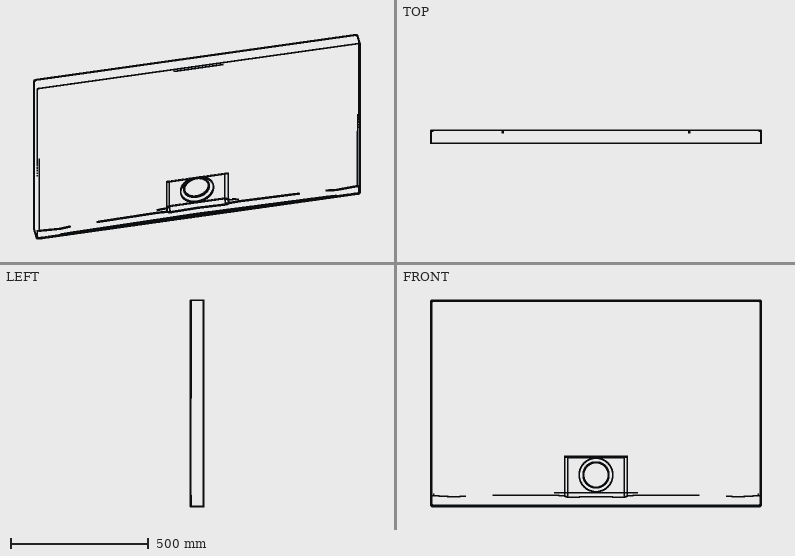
import cadquery as cq

LENGTH = 1200.0
DEPTH = 48.0
HEIGHT = 750.0
WALL = 4.0
SKIN = 4.0
RIM_LAND = 6.0
RIM_LAND_LIFT = 0.1
CORNER_RADIUS = 8.0
RIM_RADIUS = 3.0

RIM_Y = DEPTH / 2
FLOOR_Y = RIM_Y - SKIN
INNER_X = LENGTH / 2 - WALL
INNER_Z = HEIGHT / 2 - WALL

RIM_FOOT_Z = -331.0
FOLD_FOOT_Z = -327.0
PAD_FOOT_Z = -324.0
STEP_BASE_Z = -348.0
STEP_BASE_END_Z = -335.0

RIM_FOOT_Y = FLOOR_Y - 3.0
FOLD_Y = 15.5
BLEND_Y = 10.0
PAD_BASE_Y = 7.0
PAD_Y = -2.0


FOLD_APEX = (291.0, 14.0)
FOLD_TOP_Z = 114.0
FOLD_SHOULDER = (181.0, 68.0)
FOLD_FLANK = (349.0, -155.0)
FOLD_FOOT_X = 374.0
PANEL_TOP_X = 302.0
PANEL_SIDE_Z = 24.0

BLEND_CORNER = (128.0, -173.0)
BLEND_TOP_Z = -152.0
BLEND_SHOULDER = (80.0, -155.0)
BLEND_FLANK = (146.0, -225.0)
BLEND_FOOT_X = 149.0

PAD_BASE_X = 114.0
PAD_BASE_TOP_Z = -193.0
PAD_X = 103.0
PAD_TOP_Z = -197.0

DRAIN_Z = -260.0
COLLAR_RADIUS = 61.0
COLLAR_HEIGHT = 11.0
LIP_RADIUS = 47.0
OUTLET_RADIUS = 45.0

LEDGE_START_X = 512.0
LEDGE_KNEE_X = 475.0
LEDGE_KNEE_Y = FLOOR_Y - 1.5
LEDGE_MIDDLE_Y = 12.0
LEDGE_TOP_Z = -329.0


def plan_point(side, point, level):
    """Place an (X, Z) plan point on the given half at a Y level."""
    return (side * point[0], level, point[1])


def line(start, end):
    return cq.Edge.makeLine(cq.Vector(*start), cq.Vector(*end))


def three_point_arc(start, middle, end):
    return cq.Edge.makeThreePointArc(cq.Vector(*start), cq.Vector(*middle), cq.Vector(*end))


def arch(top, middle, end):
    """Curve that leaves its top point level and runs out straight towards its end."""
    points = [cq.Vector(*p) for p in (top, middle, end)]
    tangents = [cq.Vector(end[0] - top[0], 0, 0), points[2] - points[1]]
    return cq.Edge.makeSpline(points, tangents=tangents)


def planar_face(points):
    return cq.Face.makeFromWires(cq.Wire.makePolygon([cq.Vector(*p) for p in points], close=True))


def floor_half(side):
    """Faces of one half of the floor underside; side is -1 or +1 along X."""
    rim_top = (0, FLOOR_Y, INNER_Z)
    rim_panel = (side * PANEL_TOP_X, FLOOR_Y, INNER_Z)
    rim_corner = (side * INNER_X, FLOOR_Y, INNER_Z)
    rim_side = (side * INNER_X, FLOOR_Y, PANEL_SIDE_Z)
    rim_foot = (side * INNER_X, RIM_FOOT_Y, RIM_FOOT_Z)

    fold_top = (0, FOLD_Y, FOLD_TOP_Z)
    fold_apex = plan_point(side, FOLD_APEX, FOLD_Y)
    fold_foot = (side * FOLD_FOOT_X, FOLD_Y, FOLD_FOOT_Z)

    blend_top = (0, BLEND_Y, BLEND_TOP_Z)
    blend_corner = plan_point(side, BLEND_CORNER, BLEND_Y)
    blend_foot = (side * BLEND_FOOT_X, BLEND_Y, PAD_FOOT_Z)

    base_top = (0, PAD_BASE_Y, PAD_BASE_TOP_Z)
    base_corner = (side * PAD_BASE_X, PAD_BASE_Y, PAD_BASE_TOP_Z)
    base_foot = (side * PAD_BASE_X, PAD_BASE_Y, PAD_FOOT_Z)

    pad_top = (0, PAD_Y, PAD_TOP_Z)
    pad_corner = (side * PAD_X, PAD_Y, PAD_TOP_Z)
    pad_foot = (side * PAD_X, PAD_Y, PAD_FOOT_Z)

    fold_over = arch(fold_top, plan_point(side, FOLD_SHOULDER, FOLD_Y), fold_apex)
    fold_down = three_point_arc(fold_apex, plan_point(side, FOLD_FLANK, FOLD_Y), fold_foot)
    blend_over = three_point_arc(blend_top, plan_point(side, BLEND_SHOULDER, BLEND_Y), blend_corner)
    blend_down = three_point_arc(blend_corner, plan_point(side, BLEND_FLANK, BLEND_Y), blend_foot)
    base_over = line(base_top, base_corner)
    base_down = line(base_corner, base_foot)

    strips = [
        (line(rim_top, rim_panel), fold_over),
        (line(rim_panel, rim_corner), line(fold_apex, rim_side)),
        (line(rim_side, rim_foot), fold_down),
        (fold_over, blend_over),
        (fold_down, blend_down),
        (blend_over, base_over),
        (blend_down, base_down),
        (base_over, line(pad_top, pad_corner)),
        (base_down, line(pad_corner, pad_foot)),
    ]
    faces = [cq.Face.makeRuledSurface(outer, inner) for outer, inner in strips]

    pad_middle = (0, PAD_Y, PAD_FOOT_Z)
    foot = [rim_foot, fold_foot, blend_foot, base_foot, pad_foot, pad_middle]
    step_base = [(side * INNER_X, FLOOR_Y, STEP_BASE_END_Z)]
    step_base += [(x, FLOOR_Y, STEP_BASE_Z) for x, _, _ in foot[1:]]
    for i in range(len(foot) - 1):
        upper = line(foot[i], foot[i + 1])
        lower = line(step_base[i], step_base[i + 1])
        faces.append(cq.Face.makeRuledSurface(upper, lower))
    faces.append(planar_face([pad_top, pad_corner, pad_foot, pad_middle]))
    faces.append(planar_face([rim_side, rim_foot, step_base[0]]))
    faces.append(planar_face([rim_top, rim_panel, rim_corner, rim_side] + step_base))
    return faces


def floor_sag():
    """Volume between the rim level and the sagging floor, drain pad included."""
    shell = cq.Shell.makeShell(floor_half(-1) + floor_half(1))
    return cq.Workplane(obj=cq.Solid.makeSolid(shell).fix())


def drain_collar():
    """Conical spout below the drain pad."""
    collar = cq.Solid.makeCone(
        COLLAR_RADIUS, LIP_RADIUS, COLLAR_HEIGHT,
        pnt=cq.Vector(0, PAD_Y, DRAIN_Z), dir=cq.Vector(0, -1, 0),
    )
    return cq.Workplane(obj=collar)


def ledge_swelling():
    """Bottom ledge thickened towards mid length."""
    profile = [
        (-LEDGE_START_X, FLOOR_Y),
        (-LEDGE_KNEE_X, LEDGE_KNEE_Y),
        (0, LEDGE_MIDDLE_Y),
        (LEDGE_KNEE_X, LEDGE_KNEE_Y),
        (LEDGE_START_X, FLOOR_Y),
    ]
    height = LEDGE_TOP_Z + INNER_Z
    return cq.Workplane("XY", origin=(0, 0, -INNER_Z)).polyline(profile).close().extrude(height)


def skirted_frame():
    """Flat tray: rim-level floor with a skirt on all four sides."""
    frame = cq.Workplane("XY").box(LENGTH, DEPTH, HEIGHT).edges("|Y").fillet(CORNER_RADIUS)
    frame = frame.faces(">Y").edges().fillet(RIM_RADIUS)
    cavity = (
        cq.Workplane("XZ", origin=(0, FLOOR_Y, 0))
        .rect(2 * INNER_X, 2 * INNER_Z)
        .extrude(DEPTH)
        .edges("|Y")
        .fillet(CORNER_RADIUS - WALL)
    )
    return frame.cut(cavity)


def walking_recess(sag):
    """Top side of the sagging floor: the underside offset by the skin, kept clear of the rim."""
    limits = cq.Workplane("XY").box(2 * (INNER_X - RIM_LAND), 2 * DEPTH, 2 * (INNER_Z - RIM_LAND))
    return sag.translate((0, SKIN + RIM_LAND_LIFT, 0)).intersect(limits)


def drain_outlet():
    """Round opening through the tip of the spout."""
    return cq.Workplane("XZ", origin=(0, RIM_Y, DRAIN_Z)).circle(OUTLET_RADIUS).extrude(DEPTH)


floor = floor_sag().union(drain_collar()).union(ledge_swelling())
tray = skirted_frame().union(floor).cut(walking_recess(floor)).cut(drain_outlet())

result = cq.Workplane(obj=tray.solids().val())